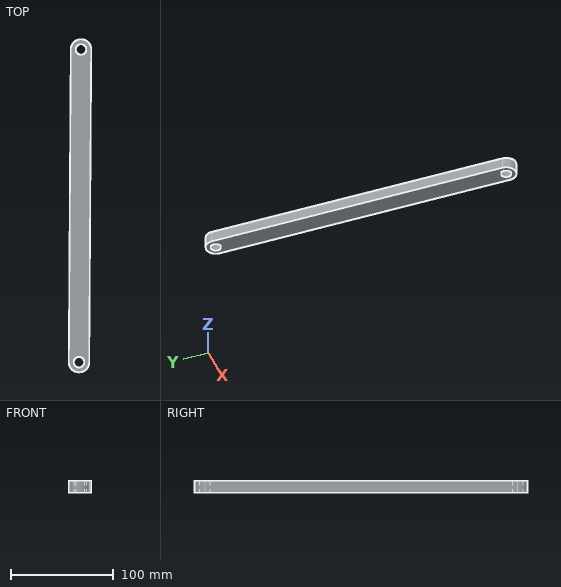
import cadquery as cq
import math

overall_length = 324.0
bar_width = 20.0
thickness = 12.0
sideways_shift = 2.0
hole_diameter = 10.0

centre_span_y = overall_length - bar_width
centre_distance = math.hypot(sideways_shift, centre_span_y)
bar_angle = math.degrees(math.atan2(centre_span_y, sideways_shift))


def make_bar():
    """Straight bar with full-round ends, lying along X."""
    return cq.Workplane("XY").slot2D(centre_distance + bar_width, bar_width).extrude(thickness)


def drill_end_holes(bar):
    """Through hole concentric with each rounded end."""
    hole_centres = [(side * centre_distance / 2, 0) for side in (-1, 1)]
    return bar.faces(">Z").workplane().pushPoints(hole_centres).hole(hole_diameter)


result = drill_end_holes(make_bar()).rotate((0, 0, 0), (0, 0, 1), bar_angle)